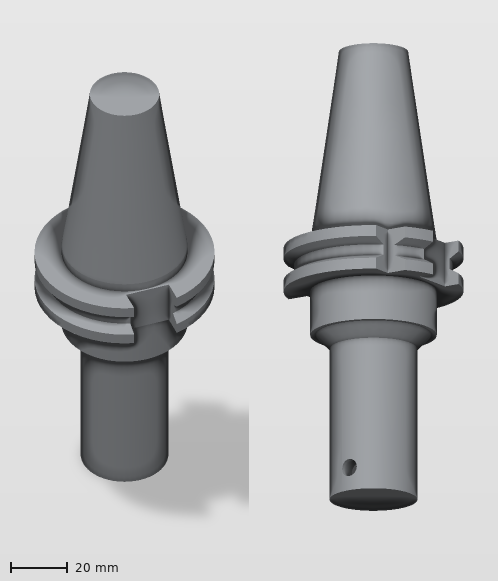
import cadquery as cq
import math


GAUGE_DIAMETER = 44.45
TAPER_LENGTH = 68.4
TAPER_RATIO = 7 / 24
TAPER_TIP_DIAMETER = GAUGE_DIAMETER - TAPER_RATIO * TAPER_LENGTH

FLANGE_DIAMETER = 63.55
FLANGE_TOP = -3.2
FLANGE_BOTTOM = -19.1
GROOVE_DIAMETER = 56.25
GROOVE_FLOOR_WIDTH = 3.75
GROOVE_CENTER = -11.15
GROOVE_WALL_ANGLE = 30

COLLAR_DIAMETER = 44.7
COLLAR_BOTTOM = -35.0
CONE_LARGE_DIAMETER = 41.0
SHANK_DIAMETER = 31.0
SHANK_TOP = COLLAR_BOTTOM - (CONE_LARGE_DIAMETER - SHANK_DIAMETER) / 2
SHANK_BOTTOM = -95.0

SLOT_WIDTH = 16.1
LEFT_SLOT_FLOOR = 25.0
RIGHT_SLOT_FLOOR = 22.8
NOTCH_OFFSET = 18.5

SIDE_HOLE_DIAMETER = 6.2
SIDE_HOLE_DEPTH = 6.5
SIDE_HOLE_HEIGHT = 8.25


def make_turned_body():
    """Revolve the half profile of taper, flange, collar, cone and shank."""
    flange_radius = FLANGE_DIAMETER / 2
    groove_radius = GROOVE_DIAMETER / 2
    half_floor = GROOVE_FLOOR_WIDTH / 2
    wall_rise = (flange_radius - groove_radius) * math.tan(math.radians(GROOVE_WALL_ANGLE))
    half_mouth = half_floor + wall_rise

    profile = [
        (0, TAPER_LENGTH),
        (TAPER_TIP_DIAMETER / 2, TAPER_LENGTH),
        (GAUGE_DIAMETER / 2, 0),
        (GAUGE_DIAMETER / 2, FLANGE_TOP),
        (flange_radius, FLANGE_TOP),
        (flange_radius, GROOVE_CENTER + half_mouth),
        (groove_radius, GROOVE_CENTER + half_floor),
        (groove_radius, GROOVE_CENTER - half_floor),
        (flange_radius, GROOVE_CENTER - half_mouth),
        (flange_radius, FLANGE_BOTTOM),
        (COLLAR_DIAMETER / 2, FLANGE_BOTTOM),
        (COLLAR_DIAMETER / 2, COLLAR_BOTTOM),
        (CONE_LARGE_DIAMETER / 2, COLLAR_BOTTOM),
        (SHANK_DIAMETER / 2, SHANK_TOP),
        (SHANK_DIAMETER / 2, SHANK_BOTTOM),
        (0, SHANK_BOTTOM),
    ]
    return cq.Workplane("XZ").polyline(profile).close().revolve(360, (0, 0, 0), (0, 1, 0))


def make_flange_cutter(x_inner, x_outer, y_low, y_high):
    """Box over the full flange thickness between the given X and Y limits."""
    return (
        cq.Workplane("XY", origin=(0, 0, FLANGE_BOTTOM))
        .moveTo(x_inner, y_low)
        .lineTo(x_outer, y_low)
        .lineTo(x_outer, y_high)
        .lineTo(x_inner, y_high)
        .close()
        .extrude(FLANGE_TOP - FLANGE_BOTTOM)
    )


def cut_drive_slots(body):
    """Cut the two drive slots, which differ in depth."""
    half_width = SLOT_WIDTH / 2
    for x_inner, side in ((-LEFT_SLOT_FLOOR, -1), (RIGHT_SLOT_FLOOR, 1)):
        body = body.cut(make_flange_cutter(x_inner, side * FLANGE_DIAMETER, -half_width, half_width))
    return body


def cut_orientation_notch(body):
    """Cut the square notch in the -X, +Y quarter of the flange."""
    cutter = make_flange_cutter(-NOTCH_OFFSET, -FLANGE_DIAMETER, NOTCH_OFFSET, FLANGE_DIAMETER)
    return body.cut(cutter)


def cut_side_hole(body):
    """Drill the blind radial hole from the +Y side."""
    floor_y = SHANK_DIAMETER / 2 - SIDE_HOLE_DEPTH
    hole = cq.Solid.makeCylinder(
        SIDE_HOLE_DIAMETER / 2,
        SHANK_DIAMETER,
        cq.Vector(0, floor_y, SHANK_BOTTOM + SIDE_HOLE_HEIGHT),
        cq.Vector(0, 1, 0),
    )
    return body.cut(cq.Workplane(obj=hole))


result = make_turned_body()
result = cut_drive_slots(result)
result = cut_orientation_notch(result)
result = cut_side_hole(result)